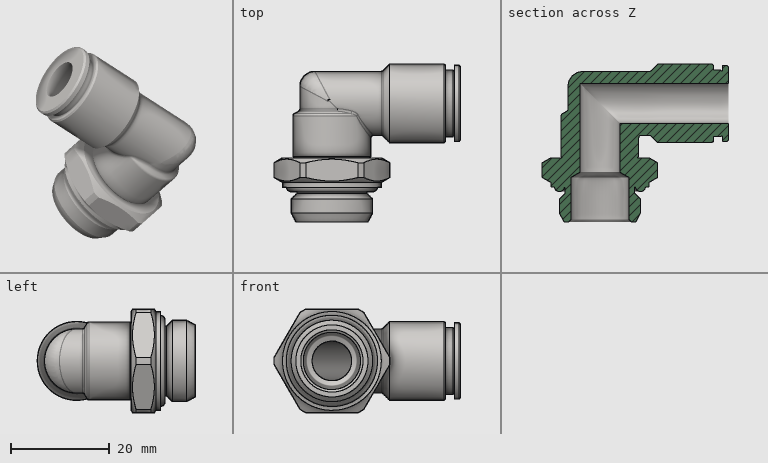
import cadquery as cq
import math


elbow_radius = 6.5
elbow_corner_radius = 3.0
corner_trim = 0.05
corner_fillet_reach = elbow_radius - corner_trim
bore_radius = 4.0

sleeve_start = 10.2
sleeve_radius = 8.0
sleeve_cone_length = sleeve_radius - elbow_radius
sleeve_root_fillet = 0.5
sleeve_end = 23.0
sleeve_chamfer_length = 0.35
sleeve_chamfer_depth = 0.25
collet_radius = 6.8
collet_end = 24.5
collet_groove_radius = 6.65
release_flange_start = 24.8
release_flange_radius = 7.75
release_flange_chamfer = 0.35
branch_end = 26.05

collar_radius = 7.9
collar_cone_start = 1.42
collar_cone_angle = 30.0
collar_shoulder_fillet = 0.5
collar_joint_fillet = 0.5
collar_end_chamfer = 0.25

nut_start = 11.0
nut_height = 5.0
nut_across_flats = 21.0
nut_corner_radius = 11.75
nut_face_radius = 10.0
nut_chamfer_angle = 30.0
hexagon_half_sector = 30.0

seat_radius = nut_face_radius
seat_height = 1.0
seal_section_radius = 1.05
seal_centre_radius = 8.2
seal_centre = 16.85

relief_radius = 7.1
thread_radius = 8.25
thread_lead_start = 18.2
thread_lead_length = thread_radius - relief_radius
thread_end_start = 22.2
thread_end_radius = 7.3
stem_end = 24.0

counterbore_radius = 5.8
counterbore_depth = 9.0
counterbore_floor_angle = 30.0
mouth_chamfer = 0.5

selection_reach = 50.0
selection_margin = 0.01

nut_end = nut_start + nut_height
seat_end = nut_end + seat_height


def revolve_about_x(points):
    """Solid of revolution about X from (distance along +X, radius) points."""
    return cq.Workplane("XY").polyline(points).close().revolve(360, (0, 0, 0), (1, 0, 0))


def revolve_about_y(points):
    """Solid of revolution about Y from (radius, distance along -Y) points."""
    outline = [(radius, -distance) for radius, distance in points]
    return cq.Workplane("XY").polyline(outline).close().revolve(360, (0, 0, 0), (0, 1, 0))


def ring_selector(axis, position):
    """Selector for edges that lie in the plane square to the X or Y axis at a position."""
    low = [-selection_reach] * 3
    high = [selection_reach] * 3
    index = "XY".index(axis)
    low[index] = position - selection_margin
    high[index] = position + selection_margin
    return cq.selectors.BoxSelector(low, high, boundingbox=True)


def mitred_elbow(radius, stem_length, branch_length):
    """Round bar along the stem, mitred at the origin, then along the branch."""
    path = cq.Workplane("XY").moveTo(0, -stem_length).lineTo(0, 0).lineTo(branch_length, 0)
    section = cq.Workplane("XZ", origin=(0, -stem_length, 0)).circle(radius)
    return section.sweep(path, transition="right")


def make_corner_waste(elbow):
    """Material outside the rounded outer corner of the elbow.

    The rounding shrinks to nothing where the mitre meets the top and bottom of the bar,
    so the edge is rounded on a copy trimmed just short of those two points.
    """
    slab = cq.Workplane("XY").box(2 * selection_reach, 2 * selection_reach, 2 * corner_fillet_reach)
    trimmed = elbow.intersect(slab)
    outer_side = cq.selectors.BoxSelector(
        (-elbow_radius, 0, -elbow_radius),
        (0, elbow_radius, elbow_radius),
    )
    mitre_edges = trimmed.edges("%ELLIPSE").edges(outer_side)
    rounded = mitre_edges.fillet(elbow_corner_radius)
    return trimmed.cut(rounded)


def make_collar():
    """Collar around the stem, with a coned shoulder and a chamfered lower end."""
    cone_length = (collar_radius - elbow_radius) * math.tan(math.radians(collar_cone_angle))
    shoulder = collar_cone_start + cone_length
    collar = revolve_about_y([
        (0, collar_cone_start),
        (elbow_radius, collar_cone_start),
        (collar_radius, shoulder),
        (collar_radius, nut_start - collar_end_chamfer),
        (collar_radius - collar_end_chamfer, nut_start),
        (0, nut_start),
    ])
    shoulder_edge = collar.edges(ring_selector("Y", -shoulder))
    return shoulder_edge.fillet(collar_shoulder_fillet)


def join_collar(elbow):
    """Add the collar to the elbow and blend the whole seam between them."""
    joined = elbow.union(make_collar())
    root_circle = joined.edges(ring_selector("Y", -collar_cone_start))
    seam = joined.edges("%BSPLINE").add(root_circle)
    return seam.fillet(collar_joint_fillet)


def make_sleeve():
    """Tube sleeve with its release collet on the branch."""
    return revolve_about_x([
        (sleeve_start, 0),
        (sleeve_start, elbow_radius),
        (sleeve_start + sleeve_cone_length, sleeve_radius),
        (sleeve_end - sleeve_chamfer_length, sleeve_radius),
        (sleeve_end, sleeve_radius - sleeve_chamfer_depth),
        (sleeve_end, collet_radius),
        (collet_end, collet_radius),
        (collet_end, collet_groove_radius),
        (release_flange_start, collet_groove_radius),
        (release_flange_start, release_flange_radius),
        (branch_end - release_flange_chamfer, release_flange_radius),
        (branch_end, release_flange_radius - release_flange_chamfer),
        (branch_end, 0),
    ])


def join_sleeve(elbow):
    """Add the sleeve to the elbow and blend the root of its cone."""
    joined = elbow.union(make_sleeve())
    return joined.edges(ring_selector("X", sleeve_start)).fillet(sleeve_root_fillet)


def make_nut():
    """Hexagon with flats facing +Z and -Z, corners turned and chamfered at both faces."""
    across_corners = nut_across_flats / math.cos(math.radians(hexagon_half_sector))
    hexagon = (
        cq.Workplane("XZ", origin=(0, -nut_start, 0))
        .polygon(6, across_corners)
        .extrude(nut_height)
    )
    chamfer_length = (nut_corner_radius - nut_face_radius) * math.tan(math.radians(nut_chamfer_angle))
    turned_blank = revolve_about_y([
        (0, nut_start),
        (nut_face_radius, nut_start),
        (nut_corner_radius, nut_start + chamfer_length),
        (nut_corner_radius, nut_end - chamfer_length),
        (nut_face_radius, nut_end),
        (0, nut_end),
    ])
    return hexagon.intersect(turned_blank)


def make_threaded_end():
    """Seal seat, thread relief and plain threaded section below the nut."""
    return revolve_about_y([
        (0, nut_end),
        (seat_radius, nut_end),
        (seat_radius, seat_end),
        (relief_radius, seat_end),
        (relief_radius, thread_lead_start),
        (thread_radius, thread_lead_start + thread_lead_length),
        (thread_radius, thread_end_start),
        (thread_end_radius, stem_end),
        (0, stem_end),
    ])


def make_seal():
    """Seal ring lying against the seat."""
    return (
        cq.Workplane("XY")
        .center(seal_centre_radius, -seal_centre)
        .circle(seal_section_radius)
        .revolve(360, (-seal_centre_radius, 0, 0), (-seal_centre_radius, 1, 0))
    )


def make_passage():
    """Mitred bore through both legs, widened by a coned counterbore at the threaded end."""
    counterbore_floor = stem_end - counterbore_depth
    floor_slope = math.tan(math.radians(counterbore_floor_angle))
    floor_cone_length = (counterbore_radius - bore_radius) * floor_slope
    counterbore = revolve_about_y([
        (0, counterbore_floor - floor_cone_length),
        (bore_radius, counterbore_floor - floor_cone_length),
        (counterbore_radius, counterbore_floor),
        (counterbore_radius, stem_end - mouth_chamfer),
        (counterbore_radius + mouth_chamfer, stem_end),
        (0, stem_end),
    ])
    return mitred_elbow(bore_radius, stem_end, branch_end).union(counterbore)


elbow = mitred_elbow(elbow_radius, nut_start, sleeve_start)
body = join_sleeve(join_collar(elbow))
body = body.cut(make_corner_waste(elbow))
body = body.union(make_nut()).union(make_threaded_end()).union(make_seal())
result = body.cut(make_passage())